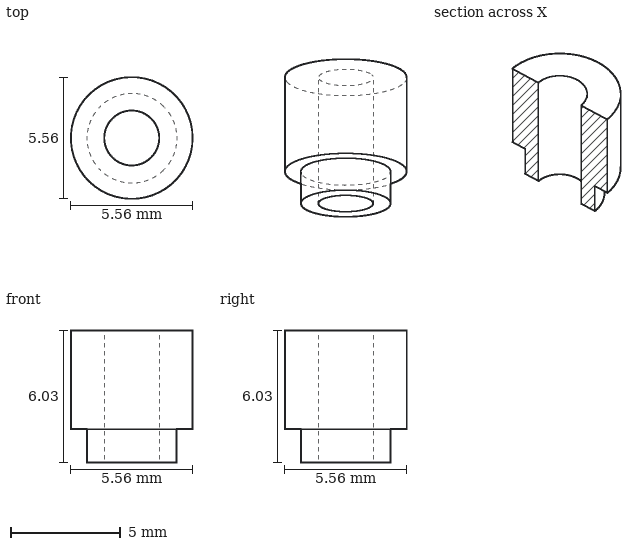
import cadquery as cq

total_height = 6.03
body_diameter = 5.56
spigot_diameter = 4.095
spigot_height = 1.525
bore_diameter = 2.495

body_height = total_height - spigot_height

spigot = cq.Workplane("XY").circle(spigot_diameter / 2).extrude(spigot_height)

bushing = spigot.faces(">Z").workplane().circle(body_diameter / 2).extrude(body_height)

result = bushing.faces(">Z").workplane().hole(bore_diameter)